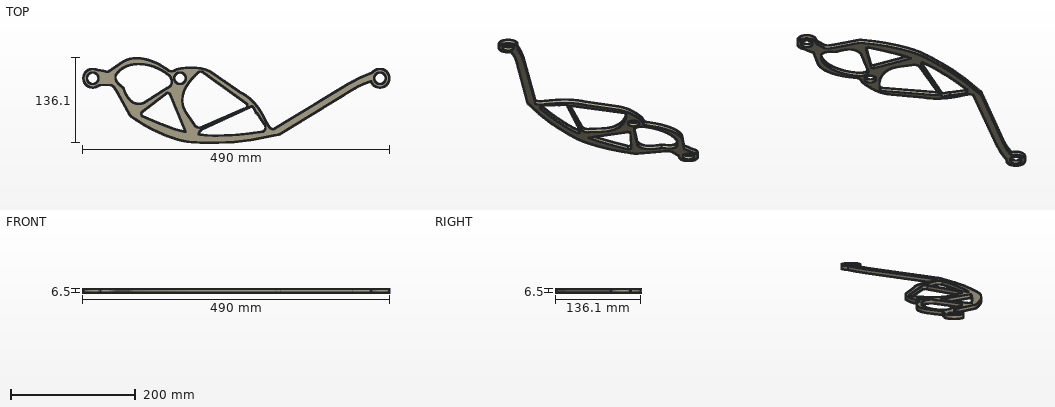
import cadquery as cq

thickness = 6.5
overall_length = 490
eye_diameter = 30.5
hole_diameter = 18.0
right_eye_x = overall_length - eye_diameter
middle_hole_x = 139.5
eye_centres = [(0, 0), (right_eye_x, 0)]
hole_centres = eye_centres + [(middle_hole_x, 0)]


def plate(start, stretches):
    """Extrude a closed outline; one-point stretches are lines, longer ones smooth curves."""
    outline = cq.Workplane("XY").moveTo(*start)
    for points in stretches:
        if len(points) == 1:
            outline = outline.lineTo(*points[0])
        else:
            outline = outline.spline(points, includeCurrent=True)
    return outline.close().extrude(thickness)


def discs(centres, diameter):
    return cq.Workplane("XY").pushPoints(centres).circle(diameter / 2).extrude(thickness)


def frame_body():
    """Outer shape without the eyes, clockwise from inside the left eye."""
    neck_top = [(12.5, 12.5), (24.0, 10.5)]
    dome = [(40.5, 21.5), (58.5, 31.0), (73.0, 32.5), (89.0, 29.5), (107.0, 22.0), (121.0, 12.5)]
    saddle = [(126.0, 11.5), (131.0, 12.2), (133.8, 14.0)]
    shoulder = [(142.5, 16.0), (156.0, 17.0), (172.0, 16.0), (189.5, 10.0)]
    knee = [(252.0, -33.0), (263.5, -45.5), (277.0, -68.0)]
    arm_root_top = [(281.0, -76.0), (287.5, -81.5), (292.5, -79.5)]
    arm_end_top = [(426.5, 0.5), (448.0, 9.5)]
    arm_end_bottom = [(434.5, -9.0), (415.5, -18.5)]
    arm_root_bottom = [(297.0, -90.5), (293.0, -91.0)]
    belly = [(253.5, -99.0), (225.0, -102.5), (186.0, -103.5), (153.0, -102.0),
             (120.5, -93.0), (87.5, -78.0), (62.5, -62.0)]
    heel = [(60.5, -60.5), (58.5, -57.5)]
    neck_bottom = [(33.5, -13.5), (31.0, -12.0), (27.5, -11.0)]
    return plate((0, 0), [
        [(3.0, 13.5)], neck_top, [(26.5, 12.0)],
        dome, saddle, shoulder,
        [(235.5, -22.0)], knee, arm_root_top,
        [(410.5, -8.0)], arm_end_top,
        [(right_eye_x, 0)], [(443.0, -6.0)], arm_end_bottom,
        [(300.5, -89.0)], arm_root_bottom, belly, heel,
        [(39.0, -22.5)], neck_bottom,
        [(12.5, -11.0)], [(4.0, -14.0)],
    ])


def dome_window():
    roof = [(40.5, 10.0), (51.0, 17.5), (65.5, 22.0), (82.0, 22.0), (99.5, 17.5), (121.0, 5.5)]
    right_end = [(125.5, -0.5), (126.5, -6.5), (119.5, -15.0)]
    floor = [(76.0, -40.5), (65.5, -39.0), (57.0, -31.5), (49.5, -15.5)]
    left_end = [(43.5, -11.0), (37.5, -4.0), (37.0, 5.5)]
    return plate(left_end[-1], [roof, right_end, [(82.0, -39.0)], floor, left_end])


def triangle_window():
    top_corner = [(119.5, -23.5), (123.5, -25.5)]
    right_tip = [(148.5, -85.5)]
    bottom = [(122.5, -78.5), (99.5, -69.0), (79.0, -60.5)]
    left_corner = [(78.0, -56.5), (82.0, -52.0)]
    return plate((116.5, -25.5), [top_corner, right_tip, bottom, left_corner])


def upper_window():
    top_corner = [(173.0, 11.0), (176.5, 9.5)]
    right_corner = [(247.5, -43.5), (246.5, -47.0), (243.5, -48.0)]
    bottom_corner = [(171.5, -79.0), (167.5, -78.5), (163.0, -75.0)]
    left_side = [(151.5, -58.0), (145.0, -45.5), (143.5, -34.5), (146.0, -21.5), (156.5, -4.0), (169.0, 9.5)]
    return plate((169.0, 9.5), [
        top_corner, [(246.0, -40.5)], right_corner,
        [(175.0, -78.0)], bottom_corner, left_side,
    ])


def lower_window():
    top_corner = [(255.0, -45.0), (256.5, -46.5), (262.5, -56.0)]
    right_corner = [(276.5, -80.5), (272.5, -85.2)]
    bottom = [(258.0, -87.0), (232.5, -90.0), (206.0, -91.5), (182.0, -91.0), (169.5, -89.5)]
    left_corner = [(172.0, -84.5), (176.0, -81.5)]
    return plate(left_corner[-1], [
        [(252.5, -46.0)], top_corner, [(275.5, -75.0)],
        right_corner, bottom, left_corner,
    ])


result = frame_body().union(discs(eye_centres, eye_diameter))
for window in (dome_window, triangle_window, upper_window, lower_window):
    result = result.cut(window())
result = result.cut(discs(hole_centres, hole_diameter))